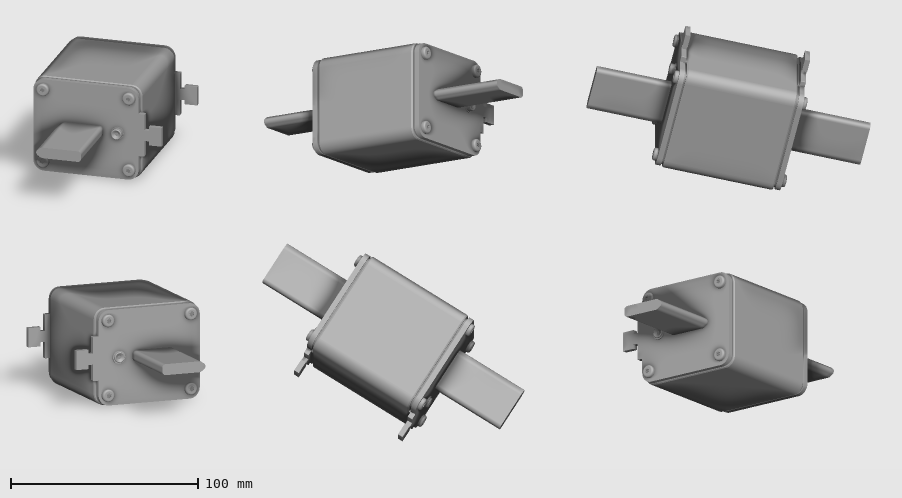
import cadquery as cq
import math


body_width = 60.0
body_height = 53.0
body_radius = 6.0
body_half_length = 30.3
body_edge_run = 0.8
body_edge_inset = 0.5

neck_side_inset = 1.6
neck_top_inset = 1.5
neck_width = body_width - 2 * neck_side_inset
neck_height = body_height - 2 * neck_top_inset
neck_radius = 4.5

plate_inner_y = 31.4
plate_thickness = 2.8
plate_outer_y = plate_inner_y + plate_thickness
plate_inset = 0.5
plate_left_x = -body_width / 2 + plate_inset
plate_right_x = 29.1
plate_height = body_height - 2 * plate_inset

shoulder_height = 24.0
shoulder_end_x = 32.4
shoulder_radius = 0.3
waist_height = 6.0
waist_end_x = 35.0
head_height = 10.5
head_end_x = 42.0
pad_end_x = 29.7

blade_length = 150.0
blade_thickness = 6.0
blade_left_x = -15.6
blade_right_x = 9.5
blade_corner_radius = 2.0
nose_radius = 2.0
nose_slope = 34.0
nose_shoulder_radius = 3.0

screw_x = 24.0
screw_z = 20.4
screw_diameter = 6.9
screw_head_height = 2.2
screw_head_fillet = 1.0
socket_core_diameter = 2.1
socket_lobe_count = 6
socket_lobe_diameter = 0.8
socket_depth = 1.2

striker_x = 17.5
collar_diameter = 7.0
front_collar_height = 0.5
rear_collar_height = 0.9
barrel_diameter = 5.8
front_barrel_height = 3.2
rear_barrel_height = 2.0
barrel_chamfer = 0.3
bowl_rim_diameter = 4.8
bowl_floor_diameter = 2.0
bowl_depth = 1.0


def rounded_bar(width, height, radius, half_length):
    """Bar centred on the origin along Y with its four long edges rounded."""
    bar = cq.Workplane("XY").box(width, 2 * half_length, height)
    return bar.edges("|Y").fillet(radius)


def block(x_start, x_end, height, y_start, y_end):
    """Box centred on Z = 0 between the given X and Y limits."""
    return cq.Workplane("XY").box(
        x_end - x_start, y_end - y_start, height, centered=(False, False, True)
    ).translate((x_start, y_start, 0))


def front_plane(y):
    """Work plane at the given Y, facing -Y, with local axes along X and Z."""
    return cq.Workplane("XZ", origin=(0, y, 0))


def make_body():
    bar = rounded_bar(body_width, body_height, body_radius, body_half_length)
    bar = bar.faces("<Y or >Y").edges().chamfer(body_edge_inset, body_edge_run)
    neck = rounded_bar(neck_width, neck_height, neck_radius, plate_inner_y)
    return bar.union(neck)


def make_front_plate():
    y_limits = (-plate_outer_y, -plate_inner_y)
    plate = block(plate_left_x, plate_right_x, plate_height, *y_limits)
    plate = plate.edges("|Y").fillet(body_radius)
    shoulder = block(0, shoulder_end_x, shoulder_height, *y_limits)
    shoulder = shoulder.edges("|Y and >X").fillet(shoulder_radius)
    waist = block(0, waist_end_x, waist_height, *y_limits)
    head = block(waist_end_x, head_end_x, head_height, *y_limits)
    pad = block(0, pad_end_x, shoulder_height, -plate_inner_y, -body_half_length)
    return plate.union(shoulder).union(waist).union(head).union(pad)


def make_blade():
    half = blade_thickness / 2
    slope = math.radians(nose_slope)
    tip_x = blade_left_x + nose_radius - nose_radius / math.sin(slope)
    bevel_end_x = tip_x + half / math.tan(slope)
    outline = [
        (tip_x, 0),
        (bevel_end_x, half),
        (blade_right_x, half),
        (blade_right_x, -half),
        (bevel_end_x, -half),
    ]
    blade = front_plane(blade_length / 2).polyline(outline).close().extrude(blade_length)
    blade = blade.edges("|Y and >X").fillet(blade_corner_radius)
    blade = blade.edges("|Y and <X").fillet(nose_radius)
    upper = cq.selectors.NearestToPointSelector((bevel_end_x, 0, half))
    lower = cq.selectors.NearestToPointSelector((bevel_end_x, 0, -half))
    return blade.edges(upper + lower).fillet(nose_shoulder_radius)


def make_front_screws():
    centres = [(x, z) for x in (-screw_x, screw_x) for z in (-screw_z, screw_z)]
    top_y = -plate_outer_y - screw_head_height
    heads = front_plane(-plate_outer_y).pushPoints(centres)
    heads = heads.circle(screw_diameter / 2).extrude(screw_head_height)
    heads = heads.faces("<Y").edges().fillet(screw_head_fillet)
    sockets = front_plane(top_y).pushPoints(centres)
    sockets = sockets.circle(socket_core_diameter / 2).extrude(-socket_depth)
    for x, z in centres:
        lobes = front_plane(top_y).center(x, z)
        lobes = lobes.polarArray(socket_core_diameter / 2, 90, 360, socket_lobe_count)
        sockets = sockets.union(lobes.circle(socket_lobe_diameter / 2).extrude(-socket_depth))
    return heads.cut(sockets)


def make_striker(collar_height, barrel_height):
    """Collar and barrel standing on the front plate, with a conical bowl in the end."""
    top_y = -plate_outer_y - barrel_height
    base = front_plane(-plate_outer_y).center(striker_x, 0)
    collar = base.circle(collar_diameter / 2).extrude(collar_height)
    barrel = base.circle(barrel_diameter / 2).extrude(barrel_height)
    barrel = barrel.faces("<Y").edges().chamfer(barrel_chamfer)
    bowl = (
        front_plane(top_y).center(striker_x, 0).circle(bowl_rim_diameter / 2)
        .workplane(offset=-bowl_depth).circle(bowl_floor_diameter / 2).loft()
    )
    return collar.union(barrel).cut(bowl)


front_end = make_front_plate().union(make_front_screws())
rear_end = front_end.mirror("XZ")

result = (
    make_body()
    .union(front_end)
    .union(rear_end)
    .union(make_blade())
    .union(make_striker(front_collar_height, front_barrel_height))
    .union(make_striker(rear_collar_height, rear_barrel_height).mirror("XZ"))
)